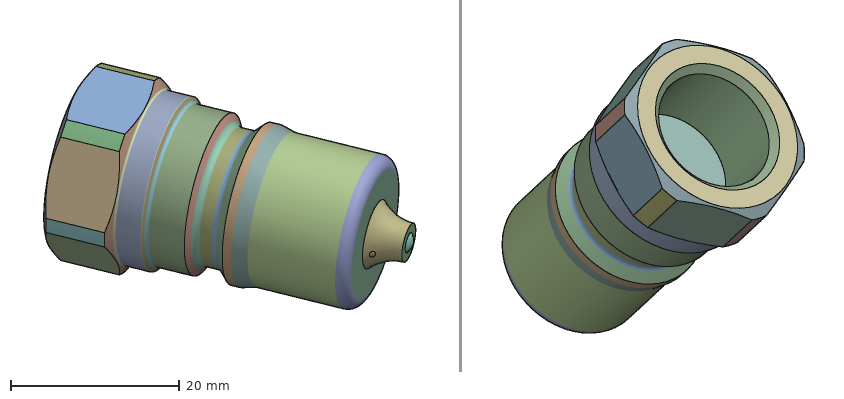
import cadquery as cq
import math

total_length = 42.8

hex_across_flats = 22.0
hex_corner_radius = 12.1
hex_face_radius = 10.75
hex_chamfer_angle = 30.0
hex_corner_end = 8.2

bore_radius = 7.43
bore_mouth_radius = 8.35
bore_depth = 12.0

shoulder_angle = 60.0
hex_shoulder_fillet = 0.3

collar_radius = 10.75
collar_end = 12.27
collar_edge_round = 0.1
collar_shoulder_fillet = 0.5

body_radius = 10.0
body_end = 17.55
groove_radius = 8.55
groove_fillet = 1.0
groove_rear_angle = 45.0

rib_start = 22.35
rib_end = 23.5
taper_end = 25.4

nose_radius = 9.5
nose_end = 38.0
nose_edge_round = 1.5

stem_root_radius = 4.25
stem_radius = 2.4
stem_end = 42.3
tip_radius = 1.25

dome_x = 38.95
dome_footprint_radius = 0.4
dome_height = 0.1


def arc_run(radius, angle):
    """Length along X of an arc turning from the X direction through the angle."""
    return radius * math.sin(math.radians(angle))


def arc_rise(radius, angle):
    """Radial change of an arc turning from the X direction through the angle."""
    return radius * (1 - math.cos(math.radians(angle)))


def slope_run(rise, angle):
    """Length along X of a straight slope with the given radial change."""
    return rise / math.tan(math.radians(angle))


def cap_sphere_radius(base_radius, height):
    """Radius of the sphere whose cap has the given base radius and height."""
    return (base_radius**2 + height**2) / (2 * height)


def add_shoulder(profile, x, top, bottom, fillet):
    """Slope down from (x, top) and blend tangentially into the bottom radius."""
    fillet_top = bottom + arc_rise(fillet, shoulder_angle)
    fillet_x = x + slope_run(top - fillet_top, shoulder_angle)
    floor_x = fillet_x + arc_run(fillet, shoulder_angle)
    return (
        profile.lineTo(fillet_x, fillet_top)
        .tangentArcPoint((floor_x, bottom), relative=False)
    )


def add_hex_blank(profile):
    """Mouth face, front cone, corner cylinder and rear shoulder of the hex."""
    front_cone = (hex_corner_radius - hex_face_radius) * math.tan(math.radians(hex_chamfer_angle))
    profile = (
        profile.lineTo(0, hex_face_radius)
        .lineTo(front_cone, hex_corner_radius)
        .lineTo(hex_corner_end, hex_corner_radius)
    )
    return add_shoulder(profile, hex_corner_end, hex_corner_radius, collar_radius, hex_shoulder_fillet)


def add_collar(profile):
    """Collar with a rounded edge and a sloped shoulder down to the body."""
    slope_x = collar_end + arc_run(collar_edge_round, shoulder_angle)
    slope_top = collar_radius - arc_rise(collar_edge_round, shoulder_angle)
    profile = (
        profile.lineTo(collar_end, collar_radius)
        .tangentArcPoint((slope_x, slope_top), relative=False)
    )
    return add_shoulder(profile, slope_x, slope_top, body_radius, collar_shoulder_fillet)


def add_body_and_groove(profile):
    """Body cylinder and the groove, whose rear wall climbs to the rib."""
    rear_fillet_top = groove_radius + arc_rise(groove_fillet, groove_rear_angle)
    rear_fillet_x = rib_start - slope_run(body_radius - rear_fillet_top, groove_rear_angle)
    floor_end = rear_fillet_x - arc_run(groove_fillet, groove_rear_angle)
    profile = profile.lineTo(body_end, body_radius)
    profile = add_shoulder(profile, body_end, body_radius, groove_radius, groove_fillet)
    return (
        profile.lineTo(floor_end, groove_radius)
        .tangentArcPoint((rear_fillet_x, rear_fillet_top), relative=False)
        .lineTo(rib_start, body_radius)
    )


def add_rib_and_nose(profile):
    """Rib, taper and nose cylinder with its rounded front edge."""
    return (
        profile.lineTo(rib_end, body_radius)
        .lineTo(taper_end, nose_radius)
        .lineTo(nose_end - nose_edge_round, nose_radius)
        .tangentArcPoint((nose_end, nose_radius - nose_edge_round), relative=False)
    )


def flare_arc_radius():
    """Radius of the concave flare, which runs parallel to X at the stem end."""
    return cap_sphere_radius(stem_end - nose_end, stem_root_radius - stem_radius)


def flare_point(x):
    """Point (x, radius) on the stem flare."""
    arc_radius = flare_arc_radius()
    return x, stem_radius + arc_radius - math.sqrt(arc_radius**2 - (stem_end - x) ** 2)


def add_stem(profile):
    """Flared stem and the spherical cap on its end, closing on the axis."""
    cap_height = total_length - stem_end
    cap_sphere = cap_sphere_radius(tip_radius, cap_height)
    middle_radius = tip_radius / 2
    middle_x = total_length - cap_sphere + math.sqrt(cap_sphere**2 - middle_radius**2)
    return (
        profile.lineTo(nose_end, stem_root_radius)
        .threePointArc(flare_point((nose_end + stem_end) / 2), (stem_end, stem_radius))
        .lineTo(stem_end, tip_radius)
        .threePointArc((middle_x, middle_radius), (total_length, 0))
    )


def revolve_about_x(profile):
    return profile.close().revolve(360, (0, 0, 0), (1, 0, 0))


def make_plug():
    """Turned blank trimmed by the hex flats; only the nut corners reach past them."""
    profile = cq.Workplane("XY").moveTo(0, 0)
    profile = add_hex_blank(profile)
    profile = add_collar(profile)
    profile = add_body_and_groove(profile)
    profile = add_rib_and_nose(profile)
    profile = add_stem(profile)
    across_corners = hex_across_flats / math.cos(math.pi / 6)
    flats = cq.Workplane("YZ").polygon(6, across_corners).extrude(total_length)
    return revolve_about_x(profile).intersect(flats)


def make_bore():
    """Cutter for the blind bore and its 45 degree mouth."""
    mouth_depth = bore_mouth_radius - bore_radius
    profile = (
        cq.Workplane("XY")
        .moveTo(0, 0)
        .lineTo(0, bore_mouth_radius)
        .lineTo(mouth_depth, bore_radius)
        .lineTo(bore_depth, bore_radius)
        .lineTo(bore_depth, 0)
    )
    return revolve_about_x(profile)


def make_dome(side):
    """Ball sunk along the local surface normal so that a shallow cap stands proud."""
    ball_radius = cap_sphere_radius(dome_footprint_radius, dome_height)
    sink = ball_radius - dome_height
    surface_x, surface_radius = flare_point(dome_x)
    flare_slope = math.asin((stem_end - dome_x) / flare_arc_radius())
    center_x = surface_x - sink * math.sin(flare_slope)
    center_y = side * (surface_radius - sink * math.cos(flare_slope))
    return cq.Workplane("XY").sphere(ball_radius).translate((center_x, center_y, 0))


plug = make_plug().cut(make_bore())
for side in (-1, 1):
    plug = plug.union(make_dome(side))

result = plug